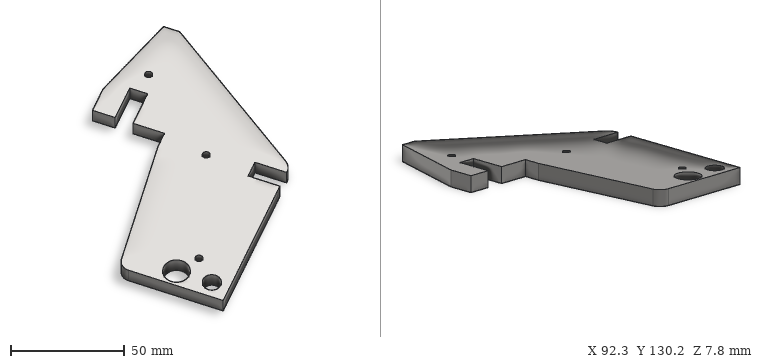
import cadquery as cq

width = 92.3
length = 130.2
thickness = 7.8

shoulder_x = 34.2
shoulder_y = 67.7
foot_x = 42.7
foot_radius = 5.2

arm_bottom = 75.8
arm_side_top = 88.3
peak_left = 12.1
peak_right = 19.8
nose_y = 79.5
nose_radius = 6.4

arm_slot_left = 10.8
arm_slot_width = 8.5
arm_slot_depth = 17.5
side_slot_depth = 15.1
side_slot_width = 8.1

small_hole_diameter = 3.5
small_hole_centers = [(15.8, 103.2), (55.7, 71.6), (73.8, 17.6)]
medium_hole_diameter = 8.5
medium_hole_center = (84.0, 7.4)
large_hole_diameter = 12.2
large_hole_center = (67.2, 7.4)


def make_blank():
    """Plate outline without slots, with the two rounded corners."""
    outline = [
        (foot_x, 0),
        (width, 0),
        (width, nose_y),
        (peak_right, length),
        (peak_left, length),
        (0, arm_side_top),
        (0, arm_bottom),
        (shoulder_x, arm_bottom),
        (shoulder_x, shoulder_y),
    ]
    blank = cq.Workplane("XY").polyline(outline).close().extrude(thickness)
    blank = round_corner(blank, foot_x, 0, foot_radius)
    return round_corner(blank, width, nose_y, nose_radius)


def round_corner(plate, x, y, radius):
    """Fillet the vertical edge standing at (x, y)."""
    edge = cq.selectors.NearestToPointSelector((x, y, thickness / 2))
    return plate.edges("|Z").edges(edge).fillet(radius)


def cut_slot(plate, x, y, size_x, size_y):
    """Cut a rectangular through slot whose lower-left corner is at (x, y)."""
    slot = cq.Workplane("XY").rect(size_x, size_y, centered=False).extrude(thickness)
    return plate.cut(slot.translate((x, y, 0)))


def drill(plate, centers, diameter):
    """Cut through holes of one diameter."""
    holes = cq.Workplane("XY").pushPoints(centers).circle(diameter / 2).extrude(thickness)
    return plate.cut(holes)


result = make_blank()
result = cut_slot(result, arm_slot_left, arm_bottom, arm_slot_width, arm_slot_depth)
result = cut_slot(
    result, width - side_slot_depth, arm_bottom - side_slot_width, side_slot_depth, side_slot_width
)
result = drill(result, small_hole_centers, small_hole_diameter)
result = drill(result, [medium_hole_center], medium_hole_diameter)
result = drill(result, [large_hole_center], large_hole_diameter)